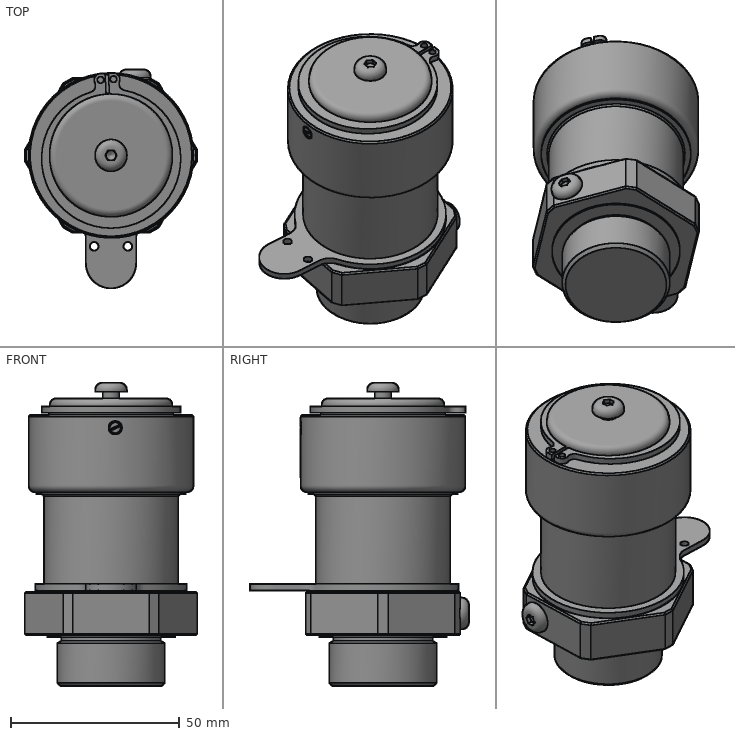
import cadquery as cq
import math

spigot_dia = 32.0
undercut_dia = 29.65
spigot_end_chamfer = 1.0
spigot_top_z = 12.75
undercut_start_z = 13.5
seat_dia = 38.0
seat_bottom_z = 14.6

hex_bottom_z = 15.1
hex_height = 13.0
hex_across_flats = 46.0
hex_across_corners = 51.24
hex_edge_chamfer = 0.5
hex_top_z = hex_bottom_z + hex_height

plate_dia = 45.0
plate_bottom_z = 28.4
plate_thickness = 1.95
plate_spacer_dia = 44.0
tab_width = 15.0
tab_end_centre_y = -32.0
tab_root_fillet = 5.0
tab_hole_dia = 2.5
tab_hole_spacing = 10.0
tab_hole_y = -27.0

barrel_dia = 40.0
barrel_collar_dia = 41.0
barrel_collar_z = 56.45
cap_lip_dia = 44.45
cap_lip_z = 57.0
cap_dia = 49.0
cap_bottom_z = 57.55
cap_top_z = 80.53
cap_bottom_round = 2.0
cap_top_chamfer = 0.5

plunger_neck_dia = 37.0
plunger_dia = 36.5
plunger_top_z = 85.48
plunger_round = 2.0

cap_turn = 3.0
ring_dia = 41.3
ring_offset_y = -0.95
ring_bottom_z = 81.15
ring_thickness = 1.9
lug_corner_radius = 1.9
lug_hole_x = 1.92
lug_hole_y = 22.55
lug_hole_dia = 1.93
lug_root_radius = 2.0
ring_gap = 1.0

set_screw_dia = 4.0
set_screw_face_dia = 3.2
set_screw_z = 76.75
set_screw_recess = 0.15
set_screw_chamfer_depth = 0.4
set_screw_slot_width = 0.5
set_screw_slot_depth = 0.6
set_screw_slot_angle = 24.0

screw_shank_dia = 5.0
screw_head_dia = 9.5
screw_head_height = 2.75
screw_rim_height = 0.5
socket_across_flats = 3.0
socket_depth = 1.3
socket_tip_angle = 120.0
overall_height = 90.15
top_screw_z = overall_height - screw_head_height
side_screw_x = 7.1
side_screw_y = 22.8
side_screw_z = hex_bottom_z + hex_height / 2


def cylinder(dia, bottom_z, top_z):
    return cq.Workplane("XY").workplane(offset=bottom_z).circle(dia / 2).extrude(top_z - bottom_z)


def make_spigot():
    full = spigot_dia / 2
    undercut = undercut_dia / 2
    profile = [
        (0, 0),
        (full - spigot_end_chamfer, 0),
        (full, spigot_end_chamfer),
        (full, spigot_top_z),
        (undercut, undercut_start_z),
        (undercut, seat_bottom_z),
        (0, seat_bottom_z),
    ]
    spigot = cq.Workplane("XZ").polyline(profile).close().revolve(360, (0, 0, 0), (0, 1, 0))
    return spigot.union(cylinder(seat_dia, seat_bottom_z, hex_bottom_z))


def hex_prism(across_flats, first_corner):
    """Hexagonal prism at the hexagon's height, its first corner at the given angle from +X."""
    corner_dia = across_flats / math.cos(math.radians(30))
    plane = cq.Workplane("XY").workplane(offset=hex_bottom_z)
    return plane.polygon(6, corner_dia).extrude(hex_height).rotate((0, 0, 0), (0, 0, 1), first_corner)


def make_hexagon():
    flats = hex_prism(hex_across_flats, 0)
    corner_cuts = hex_prism(hex_across_corners, 30)
    return flats.intersect(corner_cuts).faces("|Z").edges().chamfer(hex_edge_chamfer)


def make_tab_plate():
    plane = cq.Workplane("XY").workplane(offset=plate_bottom_z)
    plate = cylinder(plate_dia, plate_bottom_z, plate_bottom_z + plate_thickness)
    arm = plane.center(0, tab_end_centre_y / 2).rect(tab_width, -tab_end_centre_y).extrude(plate_thickness)
    arm_end = plane.center(0, tab_end_centre_y).circle(tab_width / 2).extrude(plate_thickness)
    plate = plate.union(arm).union(arm_end)

    half_width = tab_width / 2
    root_y = -math.sqrt((plate_dia / 2) ** 2 - half_width ** 2)
    middle_z = plate_bottom_z + plate_thickness / 2
    for side in (-1, 1):
        root = cq.selectors.NearestToPointSelector((side * half_width, root_y, middle_z))
        plate = plate.edges("|Z").edges(root).fillet(tab_root_fillet)

    hole_places = [(side * tab_hole_spacing / 2, tab_hole_y) for side in (-1, 1)]
    holes = plane.pushPoints(hole_places).circle(tab_hole_dia / 2).extrude(plate_thickness)
    return plate.cut(holes).union(cylinder(plate_spacer_dia, hex_top_z, plate_bottom_z))


def make_barrel():
    barrel = cylinder(barrel_dia, hex_top_z, cap_bottom_z)
    collar = (
        cq.Workplane("XY").workplane(offset=barrel_collar_z).circle(barrel_dia / 2)
        .workplane(offset=cap_lip_z - barrel_collar_z).circle(barrel_collar_dia / 2)
        .loft()
    )
    return barrel.union(collar)


def make_cap():
    shell = cylinder(cap_dia, cap_bottom_z, cap_top_z)
    shell = shell.faces(">Z").edges().chamfer(cap_top_chamfer)
    shell = shell.faces("<Z").edges().fillet(cap_bottom_round)
    return shell.union(cylinder(cap_lip_dia, cap_lip_z, cap_bottom_z))


def make_plunger():
    dome = cylinder(plunger_dia, cap_top_z, plunger_top_z).faces(">Z").edges().fillet(plunger_round)
    return dome.union(cylinder(plunger_neck_dia, cap_top_z, ring_bottom_z))


def point_on_circle(centre, radius, angle):
    return (centre[0] + radius * math.cos(angle), centre[1] + radius * math.sin(angle))


def make_lug():
    """Lug on the +X side of the gap: a round corner about its hole, swept back into the ring."""
    ring_radius = ring_dia / 2
    ring_centre = (0, ring_offset_y)
    hole_centre = (lug_hole_x, lug_hole_y)
    lug_top_y = lug_hole_y + lug_corner_radius

    ring_to_root = ring_radius + lug_root_radius
    hole_to_root = lug_corner_radius + lug_root_radius
    ring_to_hole = math.dist(ring_centre, hole_centre)
    hole_direction = math.atan2(lug_hole_y - ring_offset_y, lug_hole_x)
    cosine = (ring_to_root ** 2 + ring_to_hole ** 2 - hole_to_root ** 2) / (2 * ring_to_root * ring_to_hole)
    root_direction = hole_direction - math.acos(cosine)
    root_centre = point_on_circle(ring_centre, ring_to_root, root_direction)
    corner_direction = math.atan2(root_centre[1] - lug_hole_y, root_centre[0] - lug_hole_x)

    root_start = root_direction - math.pi
    root_end = corner_direction - math.pi
    root_end += 2 * math.pi * round((root_start - root_end) / (2 * math.pi))
    corner_middle = (corner_direction + math.pi / 2) / 2

    profile = (
        cq.Workplane("XY").workplane(offset=ring_bottom_z)
        .lineTo(*point_on_circle(ring_centre, ring_radius, root_direction))
        .threePointArc(
            point_on_circle(root_centre, lug_root_radius, (root_start + root_end) / 2),
            point_on_circle(hole_centre, lug_corner_radius, corner_direction),
        )
        .threePointArc(
            point_on_circle(hole_centre, lug_corner_radius, corner_middle),
            (lug_hole_x, lug_top_y),
        )
        .lineTo(0, lug_top_y)
        .close()
    )
    lug = profile.extrude(ring_thickness)
    hole = cylinder(lug_hole_dia, ring_bottom_z, ring_bottom_z + ring_thickness)
    return lug.cut(hole.translate((lug_hole_x, lug_hole_y, 0)))


def make_retaining_ring():
    plane = cq.Workplane("XY").workplane(offset=ring_bottom_z)
    ring = plane.center(0, ring_offset_y).circle(ring_dia / 2).extrude(ring_thickness)
    lug_top_y = lug_hole_y + lug_corner_radius
    lug = make_lug()
    ring = ring.union(lug).union(lug.mirror("YZ"))
    gap = plane.center(0, lug_top_y / 2).rect(ring_gap, lug_top_y).extrude(ring_thickness)
    return ring.cut(gap)


def make_set_screw_recess():
    """Material removed from the cap wall to leave a chamfered, slotted screw face."""
    wall_y = -cap_dia / 2
    face_y = wall_y + set_screw_recess
    chamfer_end_y = face_y + set_screw_chamfer_depth
    front = cq.Workplane("XZ", origin=(0, wall_y, set_screw_z))
    pocket = front.circle(set_screw_dia / 2).extrude(-(chamfer_end_y - wall_y))
    screw_tip = (
        cq.Workplane("XZ", origin=(0, chamfer_end_y, set_screw_z)).circle(set_screw_dia / 2)
        .workplane(offset=set_screw_chamfer_depth).circle(set_screw_face_dia / 2)
        .loft()
    )
    slot = (
        front.transformed(rotate=(0, 0, set_screw_slot_angle))
        .rect(set_screw_dia, set_screw_slot_width)
        .extrude(-(set_screw_recess + set_screw_slot_depth))
    )
    slot = slot.intersect(front.circle(set_screw_dia / 2).extrude(-set_screw_dia))
    return pocket.cut(screw_tip).union(slot)


def make_button_head():
    """Button head standing on the XY plane with its axis on Z."""
    rim = screw_head_dia / 2
    crown_radius = screw_head_height - screw_rim_height
    crown_centre = rim - crown_radius
    diagonal = crown_radius * math.sqrt(0.5)
    head = (
        cq.Workplane("XZ")
        .lineTo(rim, 0)
        .lineTo(rim, screw_rim_height)
        .threePointArc(
            (crown_centre + diagonal, screw_rim_height + diagonal),
            (crown_centre, screw_head_height),
        )
        .lineTo(0, screw_head_height)
        .close()
        .revolve(360, (0, 0, 0), (0, 1, 0))
    )
    socket_corner_dia = socket_across_flats / math.cos(math.radians(30))
    floor_z = screw_head_height - socket_depth
    socket = cq.Workplane("XY").workplane(offset=floor_z).polygon(6, socket_corner_dia).extrude(socket_depth)
    tip_radius = socket_across_flats / 2
    tip_depth = tip_radius / math.tan(math.radians(socket_tip_angle / 2))
    tip = cq.Solid.makeCone(tip_radius, 0, tip_depth, cq.Vector(0, 0, floor_z), cq.Vector(0, 0, -1))
    return head.cut(socket).cut(cq.Workplane(tip))


def make_top_screw():
    shank = cylinder(screw_shank_dia, plunger_top_z, top_screw_z)
    return make_button_head().translate((0, 0, top_screw_z)).union(shank)


def make_side_screw():
    facing_back = make_button_head().rotate((0, 0, 0), (1, 0, 0), -90)
    return facing_back.translate((side_screw_x, side_screw_y, side_screw_z))


def turned(shape):
    return shape.rotate((0, 0, 0), (0, 0, 1), cap_turn)


body = make_spigot()
body = body.union(make_hexagon())
body = body.union(make_tab_plate())
body = body.union(make_barrel())
body = body.union(make_cap().cut(turned(make_set_screw_recess())))
body = body.union(turned(make_retaining_ring()))
body = body.union(make_plunger())
body = body.union(make_top_screw())
body = body.union(make_side_screw())
result = body